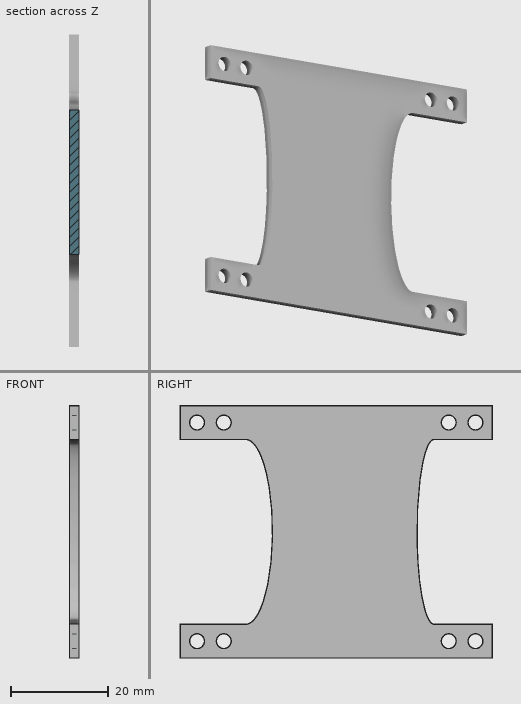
import cadquery as cq

THICKNESS = 2.0
WIDTH = 64.3
HEIGHT = 52.0
ARM_HEIGHT = 7.0

LEFT_ARM_LENGTH = 12.0
LEFT_BULGE = 3.5
RIGHT_ARM_LENGTH = 13.5
RIGHT_BULGE = 5.5

HOLE_DIAMETER = 3.0
HOLE_END_OFFSETS = (3.5, 9.0)

HALF_WIDTH = WIDTH / 2
CUTOUT_HALF_HEIGHT = HEIGHT / 2 - ARM_HEIGHT
HOLE_Z = (HEIGHT - ARM_HEIGHT) / 2
CUT_DEPTH = 2 * THICKNESS


def make_plate():
    return cq.Workplane("XY").box(THICKNESS, WIDTH, HEIGHT)


def cutter_plane():
    """YZ plane in front of the -X face, where every through cutter starts."""
    return cq.Workplane("YZ").workplane(offset=-CUT_DEPTH / 2)


def make_side_cutout(side, arm_length, bulge):
    """Cutter for the side at +Y (side = 1) or -Y (side = -1)."""
    ellipse_y = side * (HALF_WIDTH - arm_length)
    slot = (
        cutter_plane()
        .center(side * (HALF_WIDTH - arm_length / 2), 0)
        .rect(arm_length, 2 * CUTOUT_HALF_HEIGHT)
        .extrude(CUT_DEPTH)
    )
    ellipse = (
        cutter_plane()
        .center(ellipse_y, 0)
        .ellipse(bulge, CUTOUT_HALF_HEIGHT)
        .extrude(CUT_DEPTH)
    )
    return slot.union(ellipse)


def make_mounting_holes():
    centers = [
        (side * (HALF_WIDTH - offset), level * HOLE_Z)
        for side in (-1, 1)
        for level in (-1, 1)
        for offset in HOLE_END_OFFSETS
    ]
    return (
        cutter_plane()
        .pushPoints(centers)
        .circle(HOLE_DIAMETER / 2)
        .extrude(CUT_DEPTH)
    )


result = (
    make_plate()
    .cut(make_side_cutout(1, LEFT_ARM_LENGTH, LEFT_BULGE))
    .cut(make_side_cutout(-1, RIGHT_ARM_LENGTH, RIGHT_BULGE))
    .cut(make_mounting_holes())
)